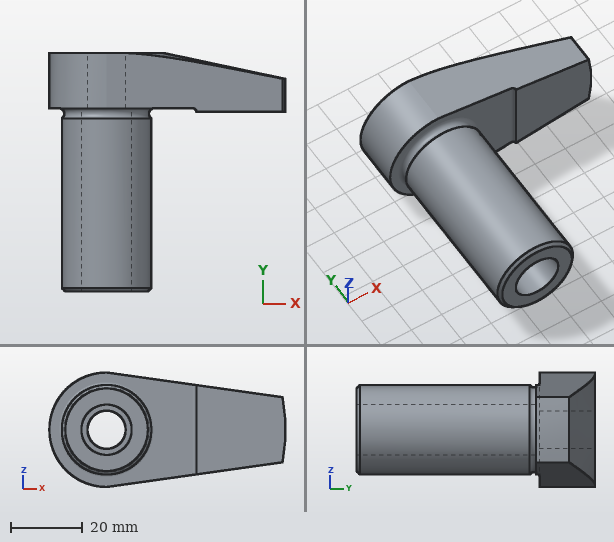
import cadquery as cq
import math

head_diameter = 32.0
head_radius = head_diameter / 2
head_thickness = 15.4
overall_length = 65.9
lever_reach = overall_length - head_radius
side_taper = 8.0

relief_start_radius = head_radius
relief_angle = 12.0
relief_overrun = 0.65

pad_height = 1.0
pad_start = 24.0

overall_depth = 66.5
shaft_length = overall_depth - head_thickness
shaft_diameter = 25.0
shaft_radius = shaft_diameter / 2
end_chamfer = 1.0

undercut_shoulder_radius = 13.2
undercut_neck_radius = 11.85
undercut_neck_distance = 1.65
undercut_length = 2.8

bore_diameter = 10.6
counterbore_diameter = 14.0


def y_cylinder(diameter, y_start, length):
    """Solid cylinder on the Y axis, growing toward +Y."""
    return cq.Workplane("XZ", origin=(0, y_start, 0)).circle(diameter / 2).extrude(-length)


def lever_outline():
    """Round head with straight tapering sides and a tip arc about the head centre."""
    taper = math.radians(side_taper)
    side_distance = head_radius * math.cos(taper)
    polar_angle = math.asin(side_distance / lever_reach) - taper
    tip_x = lever_reach * math.cos(polar_angle)
    tip_z = lever_reach * math.sin(polar_angle)
    return (
        cq.Workplane("XZ", origin=(0, -pad_height, 0))
        .moveTo(0, head_radius)
        .lineTo(tip_x, tip_z)
        .threePointArc((lever_reach, 0), (tip_x, -tip_z))
        .lineTo(0, -head_radius)
        .threePointArc((-head_radius, 0), (0, head_radius))
        .close()
        .extrude(-(head_thickness + pad_height))
    )


def lever_side_profile():
    """Thickness of the lever along X, with a concave quarter round leading to the pad."""
    round_offset = pad_height * math.sqrt(0.5)
    return (
        cq.Workplane("XY", origin=(0, 0, -head_radius))
        .moveTo(-head_radius, 0)
        .lineTo(pad_start, 0)
        .threePointArc(
            (pad_start + round_offset, round_offset - pad_height),
            (pad_start + pad_height, -pad_height),
        )
        .lineTo(lever_reach, -pad_height)
        .lineTo(lever_reach, head_thickness)
        .lineTo(-head_radius, head_thickness)
        .close()
        .extrude(head_diameter)
    )


def back_relief():
    """Ring that trims the back of the lever to a cone about the Y axis."""
    outer_radius = lever_reach + relief_overrun
    drop = (outer_radius - relief_start_radius) * math.tan(math.radians(relief_angle))
    return (
        cq.Workplane("XY")
        .moveTo(relief_start_radius, head_thickness)
        .lineTo(outer_radius, head_thickness)
        .lineTo(outer_radius, head_thickness - drop)
        .close()
        .revolve(360, (0, 0, 0), (0, 1, 0))
    )


def shaft():
    """Shaft with a rounded undercut at the head and a chamfered free end."""
    return (
        cq.Workplane("XY")
        .lineTo(undercut_shoulder_radius, 0)
        .threePointArc(
            (undercut_neck_radius, -undercut_neck_distance),
            (shaft_radius, -undercut_length),
        )
        .lineTo(shaft_radius, end_chamfer - shaft_length)
        .lineTo(shaft_radius - end_chamfer, -shaft_length)
        .lineTo(0, -shaft_length)
        .close()
        .revolve(360, (0, 0, 0), (0, 1, 0))
    )


lever = lever_outline().intersect(lever_side_profile()).cut(back_relief())
bore = y_cylinder(bore_diameter, 0, head_thickness)
counterbore = y_cylinder(counterbore_diameter, -shaft_length, shaft_length)

result = lever.union(shaft()).cut(bore).cut(counterbore)